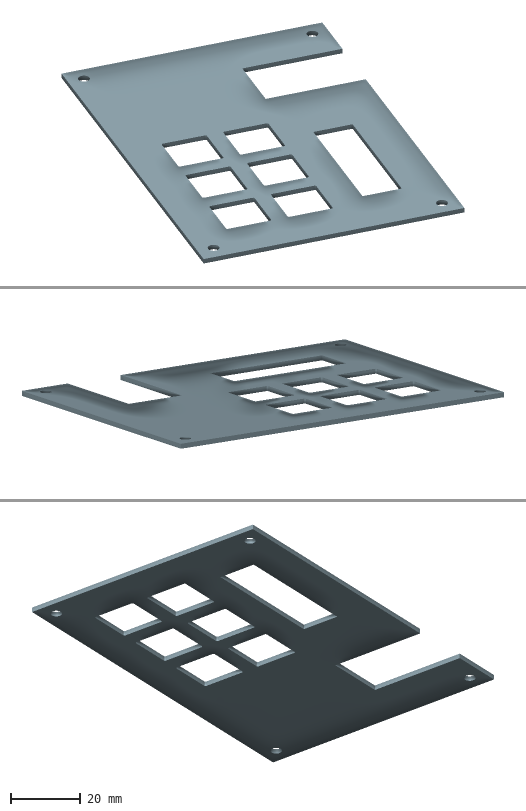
import cadquery as cq

length = 113.5
width = 80.7
thickness = 1.5

hole_diameter = 3.4
hole_inset = 5.0

slot_left = 16.1
slot_width = 18.6
slot_depth = 31.0

window_left = 57.3
window_bottom = 55.7
window_length = 39.3
window_width = 12.1

key_columns = 3
key_rows = 2
key_size = 14.0
key_pitch = 19.1
key_corner_radius = 0.5
first_key_x = 54.8
first_key_y = 19.3


def rectangular_cutter(left, bottom, size_x, size_y):
    """Block through the full plate thickness, placed by its lower-left corner."""
    return cq.Workplane("XY").box(size_x, size_y, thickness, centered=False).translate((left, bottom, 0))


def key_cutter(column, row):
    """Square block with rounded corners for one key of the grid."""
    left = first_key_x + column * key_pitch - key_size / 2
    bottom = first_key_y + row * key_pitch - key_size / 2
    return rectangular_cutter(left, bottom, key_size, key_size).edges("|Z").fillet(key_corner_radius)


plate = cq.Workplane("XY").box(length, width, thickness, centered=False)

hole_centres = [
    (x, y)
    for x in (hole_inset, length - hole_inset)
    for y in (hole_inset, width - hole_inset)
]
holes = cq.Workplane("XY").pushPoints(hole_centres).circle(hole_diameter / 2).extrude(thickness)
plate = plate.cut(holes)

plate = plate.cut(rectangular_cutter(slot_left, width - slot_depth, slot_width, slot_depth))
plate = plate.cut(rectangular_cutter(window_left, window_bottom, window_length, window_width))

for column in range(key_columns):
    for row in range(key_rows):
        plate = plate.cut(key_cutter(column, row))

result = plate